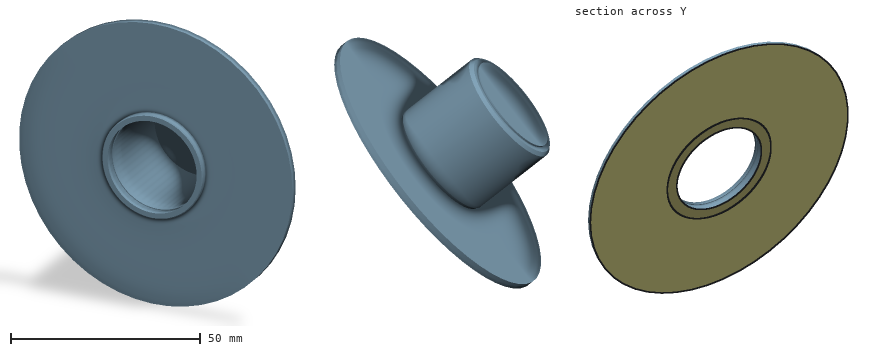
import cadquery as cq

total_length = 29.7

disc_radius = 40.0
disc_front = 2.2
disc_thickness = 2.0
disc_back = disc_front + disc_thickness

body_radius = 16.0
body_front = 5.0
body_back = 29.2
body_chamfer = 0.9
neck_radius = 15.6
lip_radius = 14.7
lip_chamfer = 0.2
mouth_radius = 13.0

groove_front = 1.0
groove_back = 3.0
groove_depth = 0.2

cap_radius = 13.6
cap_front = 8.2
cap_floor = 1.4


def cylinder(radius, front, back):
    """Solid cylinder about the Y axis between two Y positions."""
    return cq.Workplane("XZ", origin=(0, front, 0)).circle(radius).extrude(front - back)


def make_disc():
    return cylinder(disc_radius, disc_front, disc_back).cut(cylinder(body_radius, disc_front, disc_back))


def make_housing():
    lip = cylinder(lip_radius, 0, disc_back).faces("<Y").chamfer(lip_chamfer)
    shoulder = cylinder(body_radius, disc_front, disc_back)
    neck = cylinder(neck_radius, disc_back, body_front)
    barrel = cylinder(body_radius, body_front, body_back).faces(">Y").chamfer(body_chamfer)
    bore = cylinder(mouth_radius, 0, cap_front)
    groove = cylinder(mouth_radius + groove_depth, groove_front, groove_back)
    cap_seat = cylinder(cap_radius, cap_front, body_back)
    return lip.union(shoulder).union(neck).union(barrel).cut(bore).cut(groove).cut(cap_seat)


def make_cap():
    cup = cylinder(cap_radius, cap_front, total_length)
    return cup.cut(cylinder(mouth_radius, cap_front, total_length - cap_floor))


disc = make_disc()
housing = make_housing()
cap = make_cap()

result = cq.Compound.makeCompound([disc.val(), housing.val(), cap.val()])